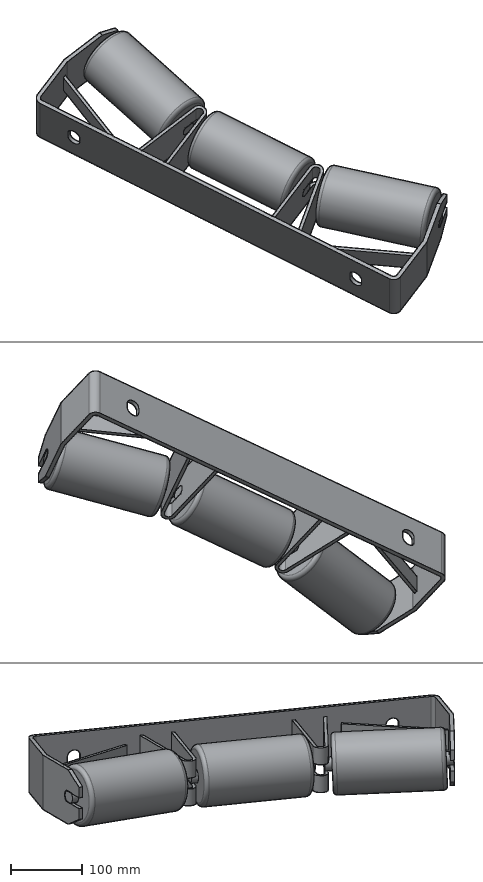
import cadquery as cq
import math

FRAME_LENGTH = 600.0
FRAME_HEIGHT = 81.5
FRAME_THICKNESS = 6.0
BEND_RADIUS = 11.5
SIDE_WALL_TOP_Y = 80.5
END_PLATE_LENGTH = 97.0
TIP_CUT_ALONG = 30.0
TIP_CUT_HIGH = 17.0
MOUNT_HOLE_X = 233.0
MOUNT_HOLE_WIDTH = 19.0
MOUNT_HOLE_HEIGHT = 28.0

HOOP_HEIGHT = 67.0
HOOP_THICKNESS = 5.0
HOOP_RADIUS = 11.0
HOOP_BEND_Y = 114.0

BRACE_THICKNESS = 5.0
BRACE_HEIGHT = 30.0
BRACE_FOOT_X = 158.5
BRACE_WALL_Y = 71.0

ROLLER_DIAMETER = 89.0
ROLLER_LENGTH = 161.0
ROLLER_FILLET = 6.0
SHAFT_DIAMETER = 20.0
SHAFT_FLAT_WIDTH = 16.0
SHAFT_GAP = 5.5
FLAT_SHOULDER_GAP = 1.0
CENTRE_ROLLER_Y = 98.5
SIDE_ROLLER_Y = 125.0
SLANT = 15.0

HALF_LENGTH = FRAME_LENGTH / 2
MID_Z = FRAME_HEIGHT / 2
HOOP_MID_Z = HOOP_HEIGHT / 2
SIN_SLANT = math.sin(math.radians(SLANT))
COS_SLANT = math.cos(math.radians(SLANT))
BRACKET_X = ROLLER_LENGTH / 2 + SHAFT_GAP
SHAFT_HALF = BRACKET_X + HOOP_THICKNESS
HOOP_BEND_X = BRACKET_X + HOOP_RADIUS
SLOT_REACH = 60.0

SLANT_LEG_OFFSET = HOOP_BEND_X * COS_SLANT + HOOP_BEND_Y * SIN_SLANT + HOOP_RADIUS
SIDE_ROLLER_X = (SLANT_LEG_OFFSET + BRACKET_X - SIDE_ROLLER_Y * SIN_SLANT) / COS_SLANT
SIDE_ROLLER_Z = (MID_Z + HOOP_MID_Z) / 2
RISE = math.degrees(math.asin((MID_Z - HOOP_MID_Z) / (2 * BRACKET_X)))


def mirrored(body):
    """Copy of a right-hand body on the left-hand side."""
    return body.mirror("YZ")


def polar(centre, radius, degrees):
    angle = math.radians(degrees)
    return (centre[0] + radius * math.cos(angle), centre[1] + radius * math.sin(angle))


def place_centre_roller(body):
    return body.translate((0, CENTRE_ROLLER_Y, HOOP_MID_Z))


def place_right_roller(body):
    tilted = body.rotate((0, 0, 0), (0, 1, 0), -RISE)
    swung = tilted.rotate((0, 0, 0), (0, 0, 1), SLANT)
    return swung.translate((SIDE_ROLLER_X, SIDE_ROLLER_Y, SIDE_ROLLER_Z))


def make_roller():
    """Roller along X, centred on the origin, with a flatted shaft stub at each end."""
    barrel = (
        cq.Workplane("YZ")
        .workplane(offset=-ROLLER_LENGTH / 2)
        .circle(ROLLER_DIAMETER / 2)
        .extrude(ROLLER_LENGTH)
    )
    barrel = barrel.edges().fillet(ROLLER_FILLET)
    shaft = cq.Workplane("YZ").circle(SHAFT_DIAMETER / 2).extrude(SHAFT_HALF, both=True)
    round_half = BRACKET_X - FLAT_SHOULDER_GAP
    flatted = cq.Workplane("XY").box(2 * SHAFT_HALF, SHAFT_DIAMETER, SHAFT_FLAT_WIDTH)
    round_part = cq.Workplane("XY").box(2 * round_half, SHAFT_DIAMETER, SHAFT_DIAMETER)
    shaft = shaft.intersect(flatted.union(round_part))
    return barrel.union(shaft)


def make_slot_cutter():
    """Two slots in roller coordinates: round at the shaft, open towards +Y."""
    half_depth = BRACKET_X + 2 * FRAME_THICKNESS
    seat = cq.Workplane("YZ").circle(SHAFT_DIAMETER / 2).extrude(half_depth, both=True)
    limit = cq.Workplane("XY").box(2 * half_depth, SHAFT_DIAMETER, SHAFT_FLAT_WIDTH)
    opening = cq.Workplane("XY").box(
        2 * half_depth, SLOT_REACH, SHAFT_FLAT_WIDTH, centered=(True, False, True)
    )
    return seat.intersect(limit).union(opening)


def make_frame(right_slots):
    corner = (HALF_LENGTH - BEND_RADIUS, BEND_RADIUS)
    bend = (HALF_LENGTH - BEND_RADIUS, SIDE_WALL_TOP_Y)
    outside = BEND_RADIUS
    inside = BEND_RADIUS - FRAME_THICKNESS

    def plate_tip(radius):
        start = polar(bend, radius, SLANT)
        return (start[0] - END_PLATE_LENGTH * SIN_SLANT, start[1] + END_PLATE_LENGTH * COS_SLANT)

    half = (
        cq.Workplane("XY")
        .moveTo(0, 0)
        .lineTo(*polar(corner, outside, -90))
        .threePointArc(polar(corner, outside, -45), polar(corner, outside, 0))
        .lineTo(*polar(bend, outside, 0))
        .threePointArc(polar(bend, outside, SLANT / 2), polar(bend, outside, SLANT))
        .lineTo(*plate_tip(outside))
        .lineTo(*plate_tip(inside))
        .lineTo(*polar(bend, inside, SLANT))
        .threePointArc(polar(bend, inside, SLANT / 2), polar(bend, inside, 0))
        .lineTo(*polar(corner, inside, 0))
        .threePointArc(polar(corner, inside, -45), polar(corner, inside, -90))
        .lineTo(0, FRAME_THICKNESS)
        .close()
        .extrude(FRAME_HEIGHT)
    )

    tip = plate_tip(outside)
    plate_plane = cq.Plane(
        origin=(tip[0], tip[1], 0),
        xDir=(SIN_SLANT, -COS_SLANT, 0),
        normal=(-COS_SLANT, -SIN_SLANT, 0),
    )
    for edge_z, cut_z in ((0, TIP_CUT_HIGH), (FRAME_HEIGHT, FRAME_HEIGHT - TIP_CUT_HIGH)):
        corner_cut = (
            cq.Workplane(plate_plane)
            .polyline([(0, edge_z), (TIP_CUT_ALONG, edge_z), (0, cut_z)])
            .close()
            .extrude(FRAME_THICKNESS)
        )
        half = half.cut(corner_cut)

    mount_hole = (
        cq.Workplane("XZ")
        .center(MOUNT_HOLE_X, MID_Z)
        .slot2D(MOUNT_HOLE_HEIGHT, MOUNT_HOLE_WIDTH, 90)
        .extrude(-FRAME_THICKNESS)
    )
    half = half.cut(mount_hole).cut(right_slots)
    return half.union(mirrored(half)).clean()


def make_right_hoop(centre_slots, right_slots):
    bend = (HOOP_BEND_X, HOOP_BEND_Y)
    outside = HOOP_RADIUS
    inside = HOOP_RADIUS - HOOP_THICKNESS
    mid_bend = (180 + SLANT) / 2

    def slanted_foot(radius):
        start = polar(bend, radius, SLANT)
        drop = start[1] - FRAME_THICKNESS
        return (start[0] + drop * SIN_SLANT / COS_SLANT, FRAME_THICKNESS)

    hoop = (
        cq.Workplane("XY")
        .moveTo(bend[0] - outside, FRAME_THICKNESS)
        .lineTo(*polar(bend, outside, 180))
        .threePointArc(polar(bend, outside, mid_bend), polar(bend, outside, SLANT))
        .lineTo(*slanted_foot(outside))
        .lineTo(*slanted_foot(inside))
        .lineTo(*polar(bend, inside, SLANT))
        .threePointArc(polar(bend, inside, mid_bend), polar(bend, inside, 180))
        .lineTo(bend[0] - inside, FRAME_THICKNESS)
        .close()
        .extrude(HOOP_HEIGHT)
    )
    return hoop.cut(centre_slots).cut(right_slots)


def make_right_brace():
    wall_x = HALF_LENGTH - FRAME_THICKNESS
    slope = math.atan2(BRACE_WALL_Y - FRAME_THICKNESS, wall_x - BRACE_FOOT_X)
    foot = (BRACE_FOOT_X, FRAME_THICKNESS)
    upper_foot = (
        foot[0] - BRACE_THICKNESS * math.sin(slope),
        foot[1] + BRACE_THICKNESS * math.cos(slope),
    )
    upper_wall_y = BRACE_WALL_Y + BRACE_THICKNESS / math.cos(slope)
    return (
        cq.Workplane("XY")
        .workplane(offset=MID_Z - BRACE_HEIGHT / 2)
        .polyline([foot, (wall_x, BRACE_WALL_Y), (wall_x, upper_wall_y), upper_foot])
        .close()
        .extrude(BRACE_HEIGHT)
    )


slot_cutter = make_slot_cutter()
centre_slots = place_centre_roller(slot_cutter)
right_slots = place_right_roller(slot_cutter)

frame = make_frame(right_slots)
right_hoop = make_right_hoop(centre_slots, right_slots)
right_brace = make_right_brace()
centre_roller = place_centre_roller(make_roller())
right_roller = place_right_roller(make_roller())

bodies = frame.solids().vals() + centre_roller.solids().vals()
for right_body in (right_hoop, right_brace, right_roller):
    bodies += right_body.solids().vals()
    bodies += mirrored(right_body).solids().vals()

result = cq.Compound.makeCompound(bodies)